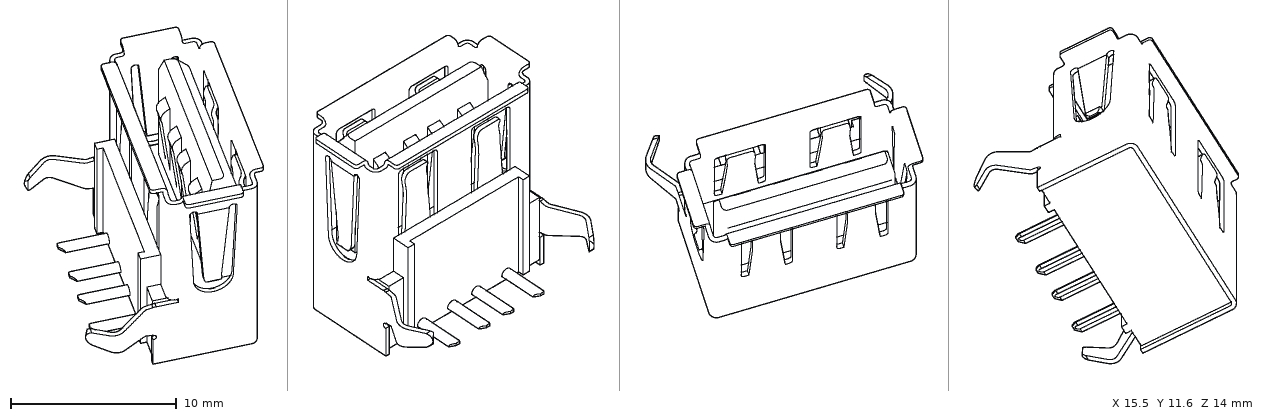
import cadquery as cq
import math


SHEET = 0.3
SHELL_WIDTH = 13.1
SHELL_DEPTH = 5.75
HEIGHT = 14.0
RIM_Z = 13.5
CORNER_RADIUS = 0.5
SIDE_X = SHELL_WIDTH / 2
BACK_Y = SHELL_DEPTH / 2
INNER_X = SIDE_X - SHEET
INNER_Y = BACK_Y - SHEET
FRONT_WALL_BOTTOM = 5.2
SIDE_WALL_FRONT_Y = -3.8

SLIT_HEIGHT = 0.26
SLIT_END_Y = -2.2

LIP_INSIDE_RADIUS = 0.1
LIP_CORNER_RADIUS = 0.2
LIP_RELIEF_RADIUS = 0.18
LONG_LIP_WIDTH = 11.0
SIDE_LIP_BACK_Y = 1.725
SIDE_LIP_FRONT_Y = -1.925
BACK_LIP_REACH = 0.6
FRONT_LIP_REACH = 0.765
SIDE_LIP_REACH = 0.7

WINDOW_X = 3.02
WINDOW_WIDTH = 3.22
WINDOW_TOP = 12.65
WINDOW_BOTTOM = 6.0
WINDOW_CORNER_RADIUS = 0.25
SPRING_X = 3.0
SPRING_TIP_WIDTH = 1.77
SPRING_ROOT_WIDTH = 2.34
SPRING_TAPER_TOP = 10.2
SPRING_TIP_Z = 12.12
SPRING_TIP_RADIUS = 0.25
SPRING_KNEE_Z = 10.79
SPRING_PEAK_Z = 11.41
SPRING_KNEE_OFFSET = 0.1
SPRING_PEAK_OFFSET = 0.24
SPRING_TIP_OFFSET = -0.09
SPRING_BEND_RADIUS = 0.75

SLOT_TOP = 12.5
SLOT_TOP_HALF = 1.49
SLOT_ARC_RADIUS = 1.25
SLOT_BOTTOM = 5.25
LEAF_TOP = 12.28
LEAF_TOP_HALF = 1.0
LEAF_BOTTOM_HALF = 0.55
LEAF_TAPER_END = 6.3
LEAF_TIP_Z = 5.94
LEAF_KNEE_Z = 6.39
LEAF_KNEE_OFFSET = 0.19
LEAF_FLARE_Z = 6.22
LEAF_FLARE_OFFSET = -0.02
LEAF_KNEE_RADIUS = 0.39

LEG_Z = 3.72
LEG_ROOT_Y = -3.6
LEG_ROOT_HALF = 1.24
LEG_TAPER_END_Y = -7.75
LEG_END_HALF = 0.53
LEG_BEND_Y = -4.26
LEG_KNEE = (7.956, -6.36)
LEG_TIP = (6.697, -8.075)
LEG_ROOT_BEND_RADIUS = 0.24
LEG_KNEE_RADIUS = 0.52
LEG_RELIEF_RADIUS = 0.17
LEG_RELIEF_Y = -3.75

HOUSING_BOTTOM = 0.4
FLOOR_Z = 5.2
HOUSING_FRONT_Y = -3.75
BLOCK_TOP = 7.75
BLOCK_WIDTH = 10.08
RIB_WIDTH = 0.53
RIB_FRONT_Y = -4.15

TONGUE_WIDTH = 11.0
TONGUE_BACK_Y = 1.85
TONGUE_FRONT_Y = 0.0
TONGUE_TOP = 13.5
TONGUE_TAPER_HEIGHT = 1.0
TONGUE_BACK_TAPER = 0.76
TONGUE_FRONT_TAPER = 0.29
TONGUE_SIDE_TAPER = 0.26
TONGUE_CORNER_RADIUS = 0.35
CONTACT_X = (-3.5, -1.0, 1.0, 3.5)
CONTACT_WIDTH = 1.0
CONTACT_BULGE = 0.55
CONTACT_BOTTOM = 6.27
CONTACT_KNEE_Z = 10.46
CONTACT_PEAK_Z = 10.95
CONTACT_TOP = 11.6
CONTACT_KNEE_BULGE = 0.48
CONTACT_BROW_Z = 11.35
CONTACT_BROW_BULGE = 0.35

PIN_RADIUS = 0.39
PIN_GROOVE_RADIUS = 0.13
PIN_Z = 0.82
PIN_TIP_Y = -6.9
PIN_TIP_LENGTH = 0.4
PIN_TIP_HALF = 0.15
PIN_TIP_RISE = 0.2


def box(x_range, y_range, z_range):
    """Axis-aligned block spanning three (low, high) ranges."""
    size = [high - low for low, high in (x_range, y_range, z_range)]
    corner = (x_range[0], y_range[0], z_range[0])
    return cq.Workplane("XY").box(*size, centered=False).translate(corner)


def mirrored_x(body):
    return body.union(body.mirror("YZ"))


def offset_path(points, distance):
    """Open path shifted to its left by distance, with mitred corners."""
    normals = []
    for (ax, ay), (bx, by) in zip(points, points[1:]):
        length = math.hypot(bx - ax, by - ay)
        normals.append(((ay - by) / length, (bx - ax) / length))
    before = [normals[0]] + normals
    after = normals + [normals[-1]]
    shifted = []
    for (px, py), (nx, ny), (mx, my) in zip(points, before, after):
        scale = distance / (1 + nx * mx + ny * my)
        shifted.append((px + scale * (nx + mx), py + scale * (ny + my)))
    return shifted


def bent_sheet(plane, path, inside_radii, low, high):
    """Sheet to the left of path, drawn in plane and spanning low to high along its normal.

    Every inner point of the path has an inside bend radius; 0 leaves that bend sharp.
    """
    other_side = offset_path(path, SHEET)
    profile = cq.Workplane(plane, origin=(0, 0, 0)).workplane(offset=low)
    sheet = profile.polyline(path + other_side[::-1]).close().extrude(high - low)
    middle = cq.Workplane(plane).workplane(offset=(low + high) / 2).plane
    for i, radius in enumerate(inside_radii, start=1):
        if radius == 0:
            continue
        (ax, ay), (bx, by), (cx, cy) = path[i - 1 : i + 2]
        turns_left = (bx - ax) * (cy - by) > (by - ay) * (cx - bx)
        inner, outer = (other_side[i], path[i]) if turns_left else (path[i], other_side[i])
        for corner, corner_radius in ((inner, radius), (outer, radius + SHEET)):
            edge = cq.NearestToPointSelector(middle.toWorldCoords(corner).toTuple())
            sheet = sheet.edges(edge).fillet(corner_radius)
    return sheet


def shell_tube():
    outer = cq.Workplane("XY").rect(SHELL_WIDTH, SHELL_DEPTH).extrude(RIM_Z)
    outer = outer.edges("|Z").fillet(CORNER_RADIUS)
    inner = cq.Workplane("XY").rect(2 * INNER_X, 2 * INNER_Y).extrude(RIM_Z)
    inner = inner.edges("|Z").fillet(CORNER_RADIUS - SHEET)
    return outer.cut(inner)


def shell_walls():
    """Tube whose front wall stops above the housing, with longer side walls below it."""
    slit_bottom = FRONT_WALL_BOTTOM - SLIT_HEIGHT
    front = box((-SIDE_X, SIDE_X), (-BACK_Y, SLIT_END_Y), (0, FRONT_WALL_BOTTOM))
    side = box((INNER_X, SIDE_X), (SIDE_WALL_FRONT_Y, SLIT_END_Y), (0, slit_bottom))
    return shell_tube().cut(front).union(mirrored_x(side))


def lip(plane, wall, reach, low, high):
    """Outward-flared lip on the wall at distance wall from the centre."""
    underside = HEIGHT - SHEET
    path = [(-wall - reach, underside), (-wall, underside), (-wall, RIM_Z)]
    return bent_sheet(plane, path, [LIP_INSIDE_RADIUS], low, high)


def lip_reliefs(plane, wall_face, low, high):
    """Concave fillets from the rim up to both ends of a lip; wall_face is a point on the wall."""
    radius = LIP_RELIEF_RADIUS
    arc_inset = radius * (1 - math.sqrt(0.5))
    wall = cq.Workplane(plane, origin=wall_face)
    fillets = []
    for end, outward in ((low, -1), (high, 1)):
        outline = (
            wall.moveTo(end, RIM_Z)
            .lineTo(end + outward * radius, RIM_Z)
            .threePointArc((end + outward * arc_inset, RIM_Z + arc_inset), (end, RIM_Z + radius))
            .close()
        )
        fillets.append(outline.extrude(SHEET))
    return fillets[0].union(fillets[1])


def long_lip(reach):
    """Lip on the front wall, running along X and flared out by reach."""
    half = LONG_LIP_WIDTH / 2
    body = lip("YZ", BACK_Y, reach, -half, half)
    body = body.edges("|Z and <Y").fillet(LIP_CORNER_RADIUS)
    return body.union(lip_reliefs("XZ", (0, -INNER_Y, 0), -half, half))


def side_lip():
    """Lip on the -X wall, running along Y."""
    body = lip("XZ", SIDE_X, SIDE_LIP_REACH, -SIDE_LIP_BACK_Y, -SIDE_LIP_FRONT_Y)
    body = body.edges("|Z and <X").fillet(LIP_CORNER_RADIUS)
    return body.union(lip_reliefs("YZ", (-SIDE_X, 0, 0), SIDE_LIP_FRONT_Y, SIDE_LIP_BACK_Y))


def windows():
    height = WINDOW_TOP - WINDOW_BOTTOM
    middle_z = (WINDOW_TOP + WINDOW_BOTTOM) / 2
    cutter = cq.Workplane("XY").box(WINDOW_WIDTH, 2 * SHELL_DEPTH, height)
    cutter = cutter.edges("|Y").fillet(WINDOW_CORNER_RADIUS)
    return mirrored_x(cutter.translate((WINDOW_X, 0, middle_z)))


def wall_spring():
    """Spring of the front wall at +X: leans inwards, then turns back out at its tip."""
    path = [
        (-BACK_Y, WINDOW_BOTTOM - SHEET),
        (-BACK_Y, WINDOW_BOTTOM),
        (-BACK_Y + SPRING_KNEE_OFFSET, SPRING_KNEE_Z),
        (-BACK_Y + SPRING_PEAK_OFFSET, SPRING_PEAK_Z),
        (-BACK_Y + SPRING_TIP_OFFSET, SPRING_TIP_Z + SHEET),
    ]
    half_root = SPRING_ROOT_WIDTH / 2
    half_tip = SPRING_TIP_WIDTH / 2
    radii = [SPRING_BEND_RADIUS, SPRING_BEND_RADIUS, 0]
    sheet = bent_sheet("YZ", path[::-1], radii, SPRING_X - half_root, SPRING_X + half_root)
    outline = [
        (-half_root, WINDOW_BOTTOM - SHEET),
        (half_root, WINDOW_BOTTOM - SHEET),
        (half_tip, SPRING_TAPER_TOP),
        (half_tip, SPRING_TIP_Z),
        (-half_tip, SPRING_TIP_Z),
        (-half_tip, SPRING_TAPER_TOP),
    ]
    blank = cq.Workplane("XZ").polyline(outline).close().extrude(SHELL_DEPTH)
    blank = blank.edges("|Y and >Z").fillet(SPRING_TIP_RADIUS)
    return sheet.intersect(blank.translate((SPRING_X, 0, 0)))


def side_slot():
    """Cutter for the slot around the side leaf, through both side walls."""
    arc_z = SLOT_BOTTOM + SLOT_ARC_RADIUS
    prong = (SLOT_TOP_HALF - LEAF_TOP_HALF) / 2
    prong_z = SLOT_TOP - prong
    middle = SLOT_TOP_HALF - prong
    outline = (
        cq.Workplane("YZ")
        .moveTo(-SLOT_ARC_RADIUS, arc_z)
        .threePointArc((0, SLOT_BOTTOM), (SLOT_ARC_RADIUS, arc_z))
        .lineTo(SLOT_TOP_HALF, prong_z)
        .threePointArc((middle, SLOT_TOP), (LEAF_TOP_HALF, prong_z))
        .lineTo(-LEAF_TOP_HALF, prong_z)
        .threePointArc((-middle, SLOT_TOP), (-SLOT_TOP_HALF, prong_z))
        .close()
    )
    return outline.extrude(SHELL_WIDTH, both=True)


def side_leaf():
    """Leaf of the -X wall: hangs from the top of its slot, leaning inwards, with its tip flared out."""
    path = [
        (-SIDE_X, SLOT_TOP),
        (-SIDE_X, LEAF_TOP),
        (-SIDE_X + LEAF_KNEE_OFFSET, LEAF_KNEE_Z),
        (-SIDE_X + LEAF_FLARE_OFFSET, LEAF_FLARE_Z),
    ]
    radii = [0, LEAF_KNEE_RADIUS]
    sheet = bent_sheet("XZ", path, radii, -LEAF_TOP_HALF, LEAF_TOP_HALF)
    outline = (
        cq.Workplane("YZ")
        .moveTo(-LEAF_TOP_HALF, SLOT_TOP)
        .lineTo(-LEAF_TOP_HALF, LEAF_TOP)
        .lineTo(-LEAF_BOTTOM_HALF, LEAF_TAPER_END)
        .threePointArc((0, LEAF_TIP_Z), (LEAF_BOTTOM_HALF, LEAF_TAPER_END))
        .lineTo(LEAF_TOP_HALF, LEAF_TOP)
        .lineTo(LEAF_TOP_HALF, SLOT_TOP)
        .close()
    )
    return sheet.intersect(outline.extrude(-SHELL_WIDTH))


def locking_leg():
    """Leg of the -X side: bows outwards and comes back to a rounded tip."""
    knee_x, knee_y = LEG_KNEE
    tip_x, tip_y = LEG_TIP
    path = [
        (-SIDE_X, LEG_ROOT_Y),
        (-SIDE_X, LEG_BEND_Y),
        (-knee_x, knee_y),
        (-tip_x, tip_y),
    ]
    radii = [LEG_ROOT_BEND_RADIUS, LEG_KNEE_RADIUS]
    sheet = bent_sheet("XY", path, radii, LEG_Z - LEG_ROOT_HALF, LEG_Z + LEG_ROOT_HALF)
    outline = (
        cq.Workplane("YZ")
        .moveTo(LEG_ROOT_Y, LEG_Z - LEG_ROOT_HALF)
        .lineTo(LEG_TAPER_END_Y, LEG_Z - LEG_END_HALF)
        .threePointArc((tip_y, LEG_Z), (LEG_TAPER_END_Y, LEG_Z + LEG_END_HALF))
        .lineTo(LEG_ROOT_Y, LEG_Z + LEG_ROOT_HALF)
        .close()
    )
    return sheet.intersect(outline.extrude(-2 * SHELL_WIDTH))


def leg_reliefs():
    """Cutter for the round notches in the side walls just below the legs."""
    relief_z = LEG_Z - LEG_ROOT_HALF - LEG_RELIEF_RADIUS
    hole = cq.Workplane("YZ").center(LEG_RELIEF_Y, relief_z).circle(LEG_RELIEF_RADIUS)
    return hole.extrude(SHELL_WIDTH, both=True)


def shell():
    front_springs = mirrored_x(wall_spring())
    body = shell_walls().cut(leg_reliefs()).cut(windows()).cut(side_slot())
    body = body.union(front_springs).union(front_springs.mirror("XZ"))
    body = body.union(long_lip(FRONT_LIP_REACH))
    body = body.union(long_lip(BACK_LIP_REACH).mirror("XZ"))
    for side_part in (side_lip(), side_leaf(), locking_leg()):
        body = body.union(mirrored_x(side_part))
    return body


def housing():
    half = BLOCK_WIDTH / 2
    body = box((-INNER_X, INNER_X), (HOUSING_FRONT_Y, INNER_Y), (HOUSING_BOTTOM, FLOOR_Z))
    block = box((-half, half), (HOUSING_FRONT_Y, -BACK_Y), (HOUSING_BOTTOM, BLOCK_TOP))
    rib = box((half - RIB_WIDTH, half), (RIB_FRONT_Y, -BACK_Y), (HOUSING_BOTTOM, BLOCK_TOP))
    return body.union(block).union(mirrored_x(rib))


def tongue():
    """Tongue rising from the floor, tapered on all sides towards its top."""
    half = TONGUE_WIDTH / 2
    taper_z = TONGUE_TOP - TONGUE_TAPER_HEIGHT
    depth_profile = [
        (TONGUE_FRONT_Y, FLOOR_Z),
        (TONGUE_FRONT_Y, taper_z),
        (TONGUE_FRONT_Y + TONGUE_FRONT_TAPER, TONGUE_TOP),
        (TONGUE_BACK_Y - TONGUE_BACK_TAPER, TONGUE_TOP),
        (TONGUE_BACK_Y, taper_z),
        (TONGUE_BACK_Y, FLOOR_Z),
    ]
    width_profile = [
        (-half, FLOOR_Z),
        (-half, taper_z),
        (-half + TONGUE_SIDE_TAPER, TONGUE_TOP),
        (half - TONGUE_SIDE_TAPER, TONGUE_TOP),
        (half, taper_z),
        (half, FLOOR_Z),
    ]
    along_x = cq.Workplane("YZ").polyline(depth_profile).close().extrude(half, both=True)
    along_y = cq.Workplane("XZ").polyline(width_profile).close().extrude(SHELL_DEPTH, both=True)
    body = along_x.intersect(along_y)
    sloped_back_edges = body.edges("not(|X or |Y or |Z)").edges(">Y")
    back_corners = body.edges("|Z and >Y").add(sloped_back_edges)
    return back_corners.fillet(TONGUE_CORNER_RADIUS)


def contact(x):
    """Contact bulging from the front face of the tongue."""
    knee = (TONGUE_FRONT_Y - CONTACT_KNEE_BULGE, CONTACT_KNEE_Z)
    peak = (TONGUE_FRONT_Y - CONTACT_BULGE, CONTACT_PEAK_Z)
    brow = (TONGUE_FRONT_Y - CONTACT_BROW_BULGE, CONTACT_BROW_Z)
    profile = (
        cq.Workplane("YZ", origin=(x - CONTACT_WIDTH / 2, 0, 0))
        .moveTo(TONGUE_FRONT_Y, CONTACT_BOTTOM)
        .lineTo(*knee)
        .threePointArc(peak, brow)
        .lineTo(TONGUE_FRONT_Y, CONTACT_TOP)
        .close()
    )
    return profile.extrude(CONTACT_WIDTH)


def pin(x):
    """Half-round solder pin, grooved underneath and narrowed at its tip."""
    length = HOUSING_FRONT_Y - PIN_TIP_Y
    section = (
        cq.Workplane("XZ", origin=(x, HOUSING_FRONT_Y, PIN_Z))
        .moveTo(-PIN_RADIUS, 0)
        .threePointArc((0, PIN_RADIUS), (PIN_RADIUS, 0))
        .lineTo(PIN_GROOVE_RADIUS, 0)
        .threePointArc((0, PIN_GROOVE_RADIUS), (-PIN_GROOVE_RADIUS, 0))
        .close()
    )
    outline = [
        (x - PIN_RADIUS, HOUSING_FRONT_Y),
        (x - PIN_RADIUS, PIN_TIP_Y + PIN_TIP_LENGTH),
        (x - PIN_TIP_HALF, PIN_TIP_Y),
        (x + PIN_TIP_HALF, PIN_TIP_Y),
        (x + PIN_RADIUS, PIN_TIP_Y + PIN_TIP_LENGTH),
        (x + PIN_RADIUS, HOUSING_FRONT_Y),
    ]
    blank = cq.Workplane("XY").polyline(outline).close().extrude(PIN_Z + PIN_RADIUS)
    underside = [
        (PIN_TIP_Y + PIN_TIP_LENGTH, PIN_Z),
        (PIN_TIP_Y, PIN_Z),
        (PIN_TIP_Y, PIN_Z + PIN_TIP_RISE),
    ]
    bevel = cq.Workplane("YZ").polyline(underside).close().extrude(PIN_RADIUS, both=True)
    return section.extrude(length).intersect(blank).cut(bevel.translate((x, 0, 0)))


result = shell().union(housing()).union(tongue())
for contact_x in CONTACT_X:
    result = result.union(contact(contact_x)).union(pin(contact_x))